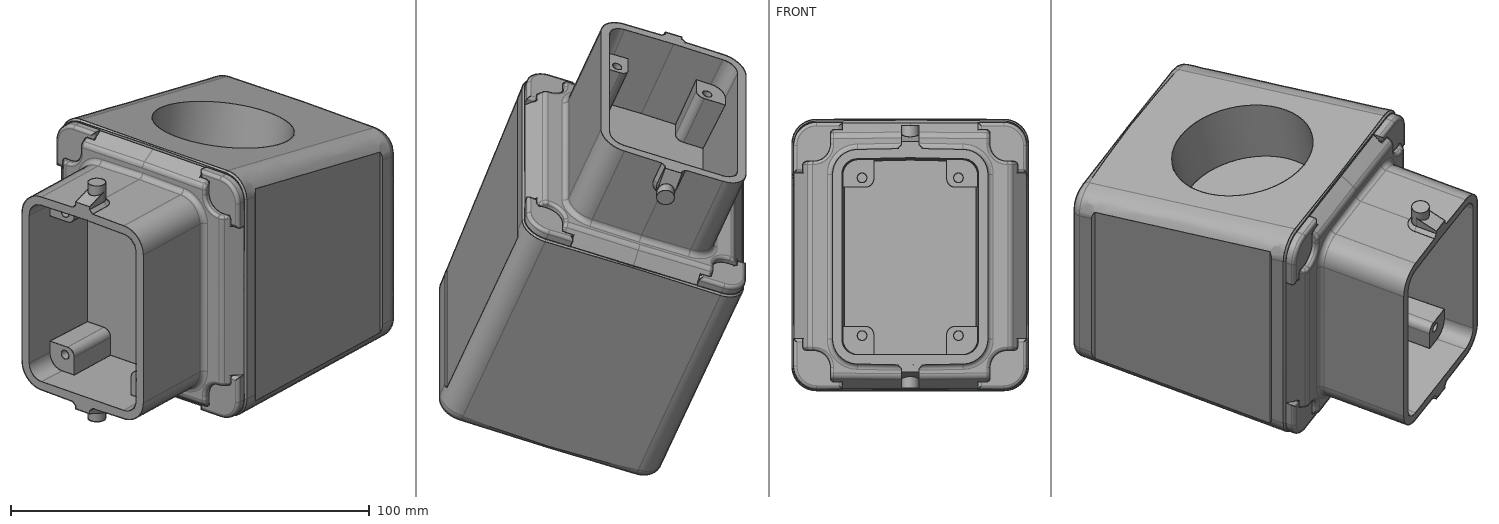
import cadquery as cq
import math

OVERALL_LENGTH = 99.5
BOX_WIDTH = 66.0
BOX_HEIGHT = 75.7
BOX_FRONT_Y = 31.4
BOX_CORNER_RADIUS = 6.9
BOX_REAR_FILLET = 3.0
BOX_FRONT_CHAMFER = 0.6
ROOF_ANGLE = 10.0
CROWN = 0.3

RECESS_DEPTH = 0.4
RECESS_FRONT_Y = 36.1
RECESS_REAR_Y = 92.3
RECESS_RAMP = 0.8

BORE_DIAMETER = 39.9
BORE_CENTRE_Y = 62.8
BORE_DEPTH = 18.4

FLANGE_FRONT_Y = 26.8
FLANGE_SIDE_INSET = 4.3
FLANGE_EDGE_INSET = 3.4
FLANGE_MID_Z = 37.6
FLANGE_EDGE_FILLET = 2.0

PAD_FACE_Y = 28.7
PAD_INSET = 0.4
PAD_WIDTH = 10.3
PAD_HEIGHT = 10.8
PAD_INNER_RADIUS = 4.8
PAD_SIDE_ARM = 14.1
PAD_SIDE_ARM_WIDTH = 2.6
PAD_EDGE_ARM = 13.7
PAD_EDGE_ARM_WIDTH = 2.0
PAD_EDGE_FILLET = 1.0
PAD_NOTCH_FILLET = 1.2
PAD_POCKET_EDGE_FILLET = 0.9

NECK_WIDTH = 43.3
NECK_BOTTOM = 7.5
NECK_TOP = 67.3
NECK_CORNER_RADIUS = 7.0
NECK_ROOT_FILLET = 1.5
NECK_WALL = 2.6
CAVITY_DEPTH = 25.2
CAVITY_DRAFT = 0.7

BOSS_SPACING_X = 26.9
BOSS_SPACING_Z = 44.0
BOSS_FRONT_Y = 9.0
BOSS_INNER_REACH_X = 3.3
BOSS_INNER_REACH_Z = 2.6
BOSS_CORNER_RADIUS = 2.4
BOSS_HOLE_DIAMETER = 2.7
BOSS_HOLE_DEPTH = 9.9

PIN_DIAMETER = 5.0
PIN_CENTRE_Y = 6.4
PIN_HEIGHT = 6.7
FOOT_HEIGHT = 1.3
RAMP_FRONT_HEIGHT = 2.2
RAMP_REAR_HEIGHT = 4.4

SELECTION_MARGIN = 0.1

NECK_MID_Z = (NECK_BOTTOM + NECK_TOP) / 2
ROOF_CREST_Y = BOX_FRONT_Y + BOX_FRONT_CHAMFER - CROWN
ROOF_SLOPE = math.tan(math.radians(ROOF_ANGLE))


def xz_plane(y):
    """Work plane square to Y whose local axes are X and Z; extruding runs toward -Y."""
    return cq.Workplane("XZ", origin=(0, y, 0))


def roof_z(y):
    """Height of the sloping roof."""
    return BOX_HEIGHT - ROOF_SLOPE * (y - ROOF_CREST_Y)


def crowned_outline(plane, width, bottom, top, radius, bottom_crown=CROWN, top_crown=CROWN):
    """Rounded rectangle whose upper and lower sides rise to a shallow ridge at X = 0."""
    half = width / 2
    straight = half - radius
    diagonal = radius * (1 - math.sqrt(0.5))
    return (
        plane.moveTo(0, bottom - bottom_crown)
        .lineTo(straight, bottom)
        .threePointArc((half - diagonal, bottom + diagonal), (half, bottom + radius))
        .lineTo(half, top - radius)
        .threePointArc((half - diagonal, top - diagonal), (straight, top))
        .lineTo(0, top + top_crown)
        .lineTo(-straight, top)
        .threePointArc((-half + diagonal, top - diagonal), (-half, top - radius))
        .lineTo(-half, bottom + radius)
        .threePointArc((-half + diagonal, bottom + diagonal), (-straight, bottom))
        .close()
    )


def ruled_loft(first, second):
    """Solid with straight rulings between two outlines."""
    wires = [outline.wires().val() for outline in (first, second)]
    return cq.Workplane(cq.Solid.makeLoft(wires, True))


def make_box():
    def section(y):
        return crowned_outline(xz_plane(y), BOX_WIDTH, 0, roof_z(y), BOX_CORNER_RADIUS)

    box = ruled_loft(section(OVERALL_LENGTH), section(BOX_FRONT_Y))
    box = box.faces(">Y").edges().fillet(BOX_REAR_FILLET)
    box = box.faces("<Y").edges().chamfer(BOX_FRONT_CHAMFER)
    envelope = (
        cq.Workplane("YZ")
        .polyline([
            (0, 0),
            (OVERALL_LENGTH, 0),
            (OVERALL_LENGTH, roof_z(OVERALL_LENGTH)),
            (0, roof_z(0)),
        ])
        .close()
        .extrude(BOX_WIDTH, both=True)
    )
    return box.intersect(envelope)


def make_recess(side):
    """Cutter for the shallow full-height recess of one side wall, with ramped ends."""
    outer = BOX_WIDTH / 2
    floor = outer - RECESS_DEPTH
    return (
        cq.Workplane("XY")
        .polyline([
            (side * outer, RECESS_FRONT_Y - RECESS_RAMP / 2),
            (side * floor, RECESS_FRONT_Y + RECESS_RAMP / 2),
            (side * floor, RECESS_REAR_Y - RECESS_RAMP / 2),
            (side * outer, RECESS_REAR_Y + RECESS_RAMP / 2),
        ])
        .close()
        .extrude(BOX_HEIGHT)
    )


def make_bore():
    axis = cq.Vector(0, math.sin(math.radians(ROOF_ANGLE)), math.cos(math.radians(ROOF_ANGLE)))
    roof_point = cq.Vector(0, BORE_CENTRE_Y, roof_z(BORE_CENTRE_Y))
    floor_point = roof_point - axis * BORE_DEPTH
    return cq.Workplane(cq.Solid.makeCylinder(BORE_DIAMETER / 2, 2 * BORE_DEPTH, floor_point, axis))


def pad_outline(y):
    """Corner plate at -X, -Z with one thin arm along the side and one along the lower edge."""
    left = -BOX_WIDTH / 2 + PAD_INSET
    low = PAD_INSET
    return (
        xz_plane(y)
        .moveTo(left, low)
        .lineTo(left + PAD_EDGE_ARM, low)
        .lineTo(left + PAD_EDGE_ARM, low + PAD_EDGE_ARM_WIDTH)
        .lineTo(left + PAD_WIDTH, low + PAD_EDGE_ARM_WIDTH)
        .lineTo(left + PAD_WIDTH, low + PAD_HEIGHT)
        .lineTo(left + PAD_SIDE_ARM_WIDTH, low + PAD_HEIGHT)
        .lineTo(left + PAD_SIDE_ARM_WIDTH, low + PAD_SIDE_ARM)
        .lineTo(left, low + PAD_SIDE_ARM)
        .close()
    )


def edge_along_y_at(x, z):
    """Selector for the edge along Y that passes through the given X and Z."""
    margin = SELECTION_MARGIN
    return cq.selectors.BoxSelector((x - margin, 0, z - margin), (x + margin, OVERALL_LENGTH, z + margin))


def pad_prism(back_y, front_y):
    left = -BOX_WIDTH / 2 + PAD_INSET
    low = PAD_INSET
    corner_radii = [
        (left + PAD_WIDTH, low + PAD_HEIGHT, PAD_INNER_RADIUS),
        (left + PAD_WIDTH, low + PAD_EDGE_ARM_WIDTH, PAD_NOTCH_FILLET),
        (left + PAD_SIDE_ARM_WIDTH, low + PAD_HEIGHT, PAD_NOTCH_FILLET),
    ]
    prism = pad_outline(back_y).extrude(back_y - front_y)
    for x, z, radius in corner_radii:
        prism = prism.edges("|Y").edges(edge_along_y_at(x, z)).fillet(radius)
    return prism


def make_pad():
    """Corner pad with its outer corner rounded and its free rim softened."""
    left = -BOX_WIDTH / 2 + PAD_INSET
    low = PAD_INSET
    pad = pad_prism(BOX_FRONT_Y, PAD_FACE_Y)
    pad = pad.edges("|Y").edges(edge_along_y_at(left, low)).fillet(BOX_CORNER_RADIUS - PAD_INSET)
    margin = SELECTION_MARGIN
    near_corner = (left - margin, 0, low - margin)
    along_side = cq.selectors.BoxSelector(
        near_corner, (left + PAD_SIDE_ARM_WIDTH - margin, OVERALL_LENGTH, BOX_HEIGHT)
    )
    along_edge = cq.selectors.BoxSelector(
        near_corner, (0, OVERALL_LENGTH, low + PAD_EDGE_ARM_WIDTH - margin)
    )
    return pad.faces("<Y").edges(along_side + along_edge).fillet(PAD_EDGE_FILLET)


def on_all_corners(shape, mid_z):
    """The shape and its mirror images across X = 0 and the given mid height."""
    pair = shape.union(shape.mirror("YZ"))
    return pair.union(pair.mirror("XY", (0, 0, mid_z)))


def flange_outline(y, side_inset, edge_inset, crown):
    """Rectangle set in from the box sides, its upper and lower sides ridged at X = 0."""
    half = BOX_WIDTH / 2 - side_inset
    bottom = edge_inset
    top = 2 * FLANGE_MID_Z - edge_inset
    return (
        xz_plane(y)
        .polyline([
            (0, bottom - crown),
            (half, bottom),
            (half, top),
            (0, top + crown),
            (-half, top),
            (-half, bottom),
        ])
        .close()
    )


def make_flange():
    """Tapered frame with rounded pockets for the pads in its four corners."""
    root = BOX_FRONT_CHAMFER
    back = flange_outline(BOX_FRONT_Y, root, root, 0)
    front = flange_outline(FLANGE_FRONT_Y, root + FLANGE_SIDE_INSET, root + FLANGE_EDGE_INSET, CROWN)
    frame = ruled_loft(back, front).faces("<Y").edges().fillet(FLANGE_EDGE_FILLET)
    frame = frame.cut(on_all_corners(pad_prism(BOX_FRONT_Y, 0), FLANGE_MID_Z))
    return frame.faces("<Y").edges().fillet(PAD_POCKET_EDGE_FILLET)


def make_neck():
    return crowned_outline(
        xz_plane(FLANGE_FRONT_Y), NECK_WIDTH, NECK_BOTTOM, NECK_TOP, NECK_CORNER_RADIUS
    ).extrude(FLANGE_FRONT_Y)


def make_cavity():
    """Drafted pocket from the mouth; its lower wall stays level."""
    width = NECK_WIDTH - 2 * NECK_WALL
    bottom = NECK_BOTTOM + NECK_WALL
    top = NECK_TOP - NECK_WALL
    radius = NECK_CORNER_RADIUS - NECK_WALL
    mouth = crowned_outline(xz_plane(0), width, bottom, top, radius, 0)
    floor = crowned_outline(
        xz_plane(CAVITY_DEPTH), width - 2 * CAVITY_DRAFT, bottom, top - CAVITY_DRAFT, radius, 0
    )
    return ruled_loft(mouth, floor)


def make_boss():
    """Screw boss in the -X, -Z corner of the cavity, reaching into both walls."""
    left = -NECK_WIDTH / 2 + NECK_WALL / 2
    low = NECK_BOTTOM + NECK_WALL / 2
    hole_x = -BOSS_SPACING_X / 2
    hole_z = NECK_MID_Z - BOSS_SPACING_Z / 2
    right = hole_x + BOSS_INNER_REACH_X
    high = hole_z + BOSS_INNER_REACH_Z
    base_y = CAVITY_DEPTH + NECK_WALL / 2
    boss = (
        xz_plane(base_y)
        .center((left + right) / 2, (low + high) / 2)
        .rect(right - left, high - low)
        .extrude(base_y - BOSS_FRONT_Y)
        .edges("|Y and >X and >Z")
        .fillet(BOSS_CORNER_RADIUS)
    )
    boss = boss.edges("|Y and <X and <Z").fillet(NECK_CORNER_RADIUS - NECK_WALL / 2)
    hole = (
        xz_plane(BOSS_FRONT_Y + BOSS_HOLE_DEPTH)
        .center(hole_x, hole_z)
        .circle(BOSS_HOLE_DIAMETER / 2)
        .extrude(BOSS_HOLE_DEPTH)
    )
    return boss.cut(hole)


def make_upper_pin():
    """Round pin with a flared foot and a lead-in ramp running to the mouth."""
    radius = PIN_DIAMETER / 2
    foot_radius = radius + FOOT_HEIGHT

    def slot(z, half_width):
        return (
            cq.Workplane("XY", origin=(0, 0, z))
            .moveTo(-half_width, 0)
            .lineTo(half_width, 0)
            .lineTo(half_width, PIN_CENTRE_Y)
            .threePointArc((0, PIN_CENTRE_Y + half_width), (-half_width, PIN_CENTRE_Y))
            .close()
        )

    foot = ruled_loft(slot(NECK_TOP, foot_radius), slot(NECK_TOP + FOOT_HEIGHT, radius))
    stem_bottom = NECK_TOP - NECK_WALL / 2
    root = slot(stem_bottom, foot_radius).extrude(NECK_TOP - stem_bottom)
    ramp = (
        cq.Workplane("YZ")
        .polyline([
            (0, stem_bottom),
            (PIN_CENTRE_Y, stem_bottom),
            (PIN_CENTRE_Y, NECK_TOP + RAMP_REAR_HEIGHT),
            (0, NECK_TOP + RAMP_FRONT_HEIGHT),
        ])
        .close()
        .extrude(radius, both=True)
    )
    stem = (
        cq.Workplane("XY", origin=(0, PIN_CENTRE_Y, stem_bottom))
        .circle(radius)
        .extrude(NECK_TOP + PIN_HEIGHT - stem_bottom)
    )
    return foot.union(root).union(ramp).union(stem)


box = make_box()
for side in (-1, 1):
    box = box.cut(make_recess(side))
box = box.cut(make_bore())

neck_reach_x = NECK_WIDTH / 2 + SELECTION_MARGIN
neck_reach_z = CROWN + SELECTION_MARGIN
neck_root = cq.selectors.BoxSelector(
    (-neck_reach_x, FLANGE_FRONT_Y - SELECTION_MARGIN, NECK_BOTTOM - neck_reach_z),
    (neck_reach_x, FLANGE_FRONT_Y + SELECTION_MARGIN, NECK_TOP + neck_reach_z),
)
shell = make_flange().union(make_neck())
shell = shell.edges(neck_root).fillet(NECK_ROOT_FILLET)

upper_pin = make_upper_pin()
result = box.union(shell).union(on_all_corners(make_pad(), FLANGE_MID_Z)).cut(make_cavity())
result = result.union(on_all_corners(make_boss(), NECK_MID_Z))
result = result.union(upper_pin).union(upper_pin.mirror("XY", (0, 0, NECK_MID_Z)))